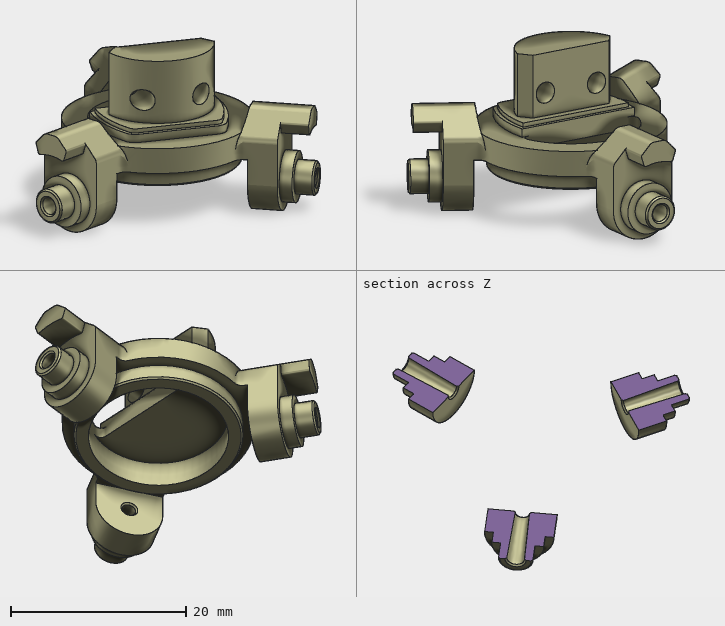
import cadquery as cq
import math

ring_radius = 11.0
bore_radius = 8.0
ring_bottom = 3.0
ring_top = 6.0
skirt_radius = 9.65
skirt_bottom = 1.0
skirt_chamfer = 0.2

web_face_x = -1.5
web_thickness = 1.5
web_corner_radius = 0.8

pad_right_x = 7.75
pad_half_width = 7.75
pad_side_radius = 15.0
pad_corner_radius = 1.5
pad_step = 0.5
lower_pad_height = 1.0
upper_pad_height = 0.5
post_radius = 6.5
post_top = 15.0
post_shoulder_x = 1.5
post_face_half_width = 5.2
post_hole_radius = 1.25
post_hole_spacing = 7.0
post_hole_height = 10.25

arm_angles = (60, 180, 300)
arm_half_width = 4.0
arm_top = 8.5
arm_eave_height = 5.45
arm_outer_x = 14.85
arm_root_radius = 1.0
eave_radius = 1.0
ridge_radius = 1.0
leg_thickness = 3.5
tip_x = 18.15
tip_bottom_radius = 6.0
tip_side_taper = 1 / 3
tip_edge_radius = 0.3

collar_radius = 3.0
collar_length = 1.5
pin_radius = 2.0
pin_length = 2.3
pin_chamfer = 0.2
pin_bore_outer_radius = 1.0
pin_bore_inner_radius = 0.8
pin_bore_chamfer = 0.2

selection_margin = 0.05

roof_half_width = arm_half_width - (arm_top - arm_eave_height)
leg_inner_x = arm_outer_x - leg_thickness
collar_end_x = arm_outer_x + collar_length
pin_end_x = collar_end_x + pin_length
upper_pad_bottom = ring_top + lower_pad_height
post_bottom = upper_pad_bottom + upper_pad_height


def disc(radius, bottom, top):
    return cq.Workplane("XY").workplane(offset=bottom).circle(radius).extrude(top - bottom)


def x_cylinder(radius, start, end):
    return cq.Workplane("YZ").workplane(offset=start).circle(radius).extrude(end - start)


def x_cone(start_radius, end_radius, start, end):
    base = cq.Vector(start, 0, 0)
    along_x = cq.Vector(1, 0, 0)
    return cq.Workplane(obj=cq.Solid.makeCone(start_radius, end_radius, end - start, base, along_x))


def block(x_min, x_max, half_width, bottom, top):
    box = cq.Workplane("XY").box(
        x_max - x_min, 2 * half_width, top - bottom, centered=(False, True, False)
    )
    return box.translate((x_min, 0, bottom))


def x_edges_at(shape, half_width, height):
    """Edges along X at a mirrored pair of places across the arm."""
    edges = shape.edges("|X")
    pair = []
    for y in (-half_width, half_width):
        around_edge = cq.selectors.BoxSelector(
            (0, y - selection_margin, height - selection_margin),
            (tip_x, y + selection_margin, height + selection_margin),
        )
        pair += edges.edges(around_edge).vals()
    return shape.newObject(pair)


def on_each_arm(shape):
    """Combine copies of a +X shape turned to the three arm directions."""
    combined = cq.Workplane("XY")
    for angle in arm_angles:
        combined = combined.add(shape.rotate((0, 0, 0), (0, 0, 1), angle))
    return combined.combine()


def arm_bridge():
    """Gabled part of the arm outside the ring, flared into the rim by root fillets."""
    plan = disc(ring_radius, ring_bottom, arm_top).rotate((0, 0, 0), (0, 0, 1), 180)
    plan = plan.union(block(0, arm_outer_x, arm_half_width, ring_bottom, arm_top))
    rim_corners = cq.selectors.BoxSelector(
        (0, -arm_half_width - selection_margin, ring_bottom),
        (ring_radius, arm_half_width + selection_margin, arm_top),
    )
    flared = plan.edges("|Z").edges(rim_corners).fillet(arm_root_radius)
    gable_half_width = roof_half_width + arm_top
    gable = (
        cq.Workplane("YZ")
        .moveTo(-gable_half_width, 0)
        .lineTo(gable_half_width, 0)
        .lineTo(roof_half_width, arm_top)
        .lineTo(-roof_half_width, arm_top)
        .close()
        .extrude(arm_outer_x)
    )
    bridge = flared.intersect(gable)
    bridge = x_edges_at(bridge, roof_half_width, arm_top).fillet(ridge_radius)
    bridge = x_edges_at(bridge, arm_half_width, arm_eave_height).fillet(eave_radius)
    return bridge.cut(disc(ring_radius, ring_bottom, arm_top))


def arm_leg():
    """Round-ended plate hanging down to the pin, clear of the skirt."""
    upright = block(leg_inner_x, arm_outer_x, arm_half_width, 0, ring_bottom)
    return upright.union(x_cylinder(arm_half_width, leg_inner_x, arm_outer_x))


def arm_tip():
    """Nose continuing the roof outward, with sides that taper toward the pin axis."""
    shoulder_z = (arm_half_width + arm_eave_height) / (1 + tip_side_taper)
    shoulder_y = shoulder_z * tip_side_taper
    foot_z = tip_bottom_radius / math.hypot(1, tip_side_taper)
    foot_y = foot_z * tip_side_taper
    nose = (
        cq.Workplane("YZ")
        .workplane(offset=leg_inner_x)
        .moveTo(-foot_y, foot_z)
        .threePointArc((0, tip_bottom_radius), (foot_y, foot_z))
        .lineTo(shoulder_y, shoulder_z)
        .lineTo(roof_half_width, arm_top)
        .lineTo(-roof_half_width, arm_top)
        .lineTo(-shoulder_y, shoulder_z)
        .close()
        .extrude(tip_x - leg_inner_x)
    )
    nose = x_edges_at(nose, roof_half_width, arm_top).fillet(ridge_radius)
    nose = x_edges_at(nose, shoulder_y, shoulder_z).fillet(tip_edge_radius)
    return x_edges_at(nose, foot_y, foot_z).fillet(tip_edge_radius)


def pin():
    collar = x_cylinder(collar_radius, arm_outer_x, collar_end_x)
    spigot = x_cylinder(pin_radius, arm_outer_x, pin_end_x).faces(">X").chamfer(pin_chamfer)
    return collar.union(spigot)


def pin_bore():
    """Tapered bore through pin and leg, chamfered at both mouths."""
    inner_mouth_radius = pin_bore_inner_radius + pin_bore_chamfer
    outer_mouth_radius = pin_bore_outer_radius + pin_bore_chamfer
    inner_chamfer_end = leg_inner_x + pin_bore_chamfer
    outer_chamfer_start = pin_end_x - pin_bore_chamfer
    inner_mouth = x_cone(inner_mouth_radius, pin_bore_inner_radius, leg_inner_x, inner_chamfer_end)
    taper = x_cone(pin_bore_inner_radius, pin_bore_outer_radius, inner_chamfer_end, outer_chamfer_start)
    outer_mouth = x_cone(pin_bore_outer_radius, outer_mouth_radius, outer_chamfer_start, pin_end_x)
    return taper.union(inner_mouth).union(outer_mouth)


def ring():
    """Ring with a narrower skirt below, bored through."""
    skirt = disc(skirt_radius, skirt_bottom, ring_bottom).faces("<Z").chamfer(skirt_chamfer)
    bore = disc(bore_radius, skirt_bottom, ring_top)
    return disc(ring_radius, ring_bottom, ring_top).union(skirt).cut(bore)


def web():
    """Plate filling the ring bore to the right of a flat face, leaving a D-shaped opening."""
    web_bottom = ring_top - web_thickness
    plate = disc(bore_radius, web_bottom, ring_top)
    opening = plate.intersect(block(-bore_radius, web_face_x, bore_radius, web_bottom, ring_top))
    return plate.cut(opening.edges("|Z").fillet(web_corner_radius))


def pad_layer(inset, bottom, height):
    """Plate with a flat left face, bowed long sides and rounded right corners."""
    left = web_face_x + inset
    right = pad_right_x - inset
    side_radius = pad_side_radius - inset
    bow_center_y = pad_half_width - pad_side_radius
    bow_middle = (left + right) / 2

    def side_y(x):
        return bow_center_y + math.sqrt(side_radius**2 - x**2)

    plate = (
        cq.Workplane("XY")
        .workplane(offset=bottom)
        .moveTo(left, side_y(left))
        .threePointArc((bow_middle, side_y(bow_middle)), (right, side_y(right)))
        .lineTo(right, -side_y(right))
        .threePointArc((bow_middle, -side_y(bow_middle)), (left, -side_y(left)))
        .close()
        .extrude(height)
    )
    return plate.edges("|Z and >X").fillet(pad_corner_radius - inset)


def post():
    """Half-round post with cut-back shoulders and two cross holes."""
    shoulder_y = math.sqrt(post_radius**2 - post_shoulder_x**2)
    body = (
        cq.Workplane("XY")
        .workplane(offset=post_bottom)
        .moveTo(0, -post_face_half_width)
        .lineTo(post_shoulder_x, -shoulder_y)
        .threePointArc((post_radius, 0), (post_shoulder_x, shoulder_y))
        .lineTo(0, post_face_half_width)
        .close()
        .extrude(post_top - post_bottom)
    )
    hole = x_cylinder(post_hole_radius, 0, post_radius)
    for side in (-1, 1):
        body = body.cut(hole.translate((0, side * post_hole_spacing / 2, post_hole_height)))
    return body


arm = arm_bridge().union(arm_leg()).union(arm_tip()).union(pin()).cut(pin_bore())

result = ring().union(web())
result = result.union(pad_layer(0, ring_top, lower_pad_height))
result = result.union(pad_layer(pad_step, upper_pad_bottom, upper_pad_height))
result = result.union(post()).union(on_each_arm(arm))